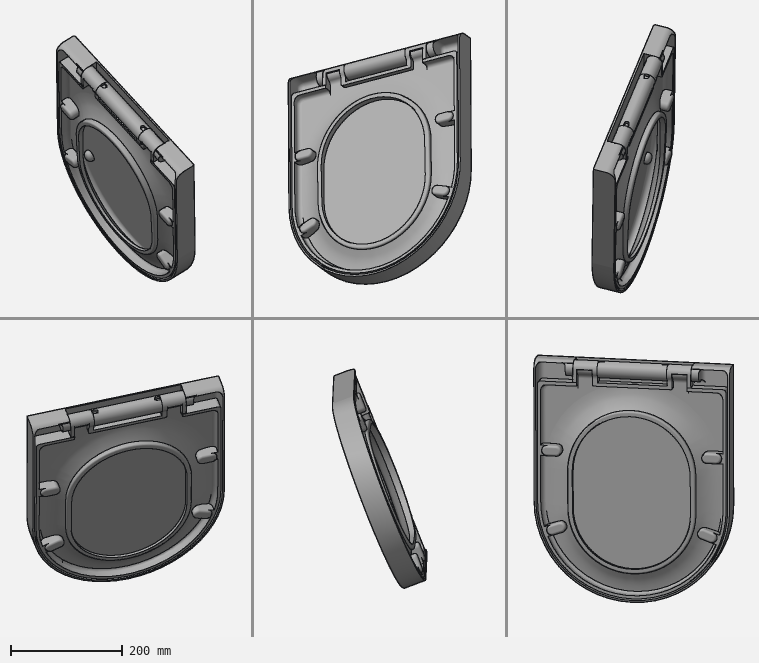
import cadquery as cq
import math

LEAN_ANGLE = 0.57

CUT_MARGIN = 20.0
OVERLAP = 1.0

LID_RADIUS = 179.0
LID_TOP = 261.0
LID_DEPTH = 42.2
LID_WALL = 3.5
LID_TOP_WALL = 4.2
LID_PLATE = 5.0
LID_BACK_ROUND = 4.5
LID_FLOOR_ROUND = 9.0
LID_CORNER_ROUND = 10.0
LID_EDGE_ROUND = 17.5

BARREL_RADIUS = 15.2
HINGE_DROP = 15.3
HINGE_SETBACK = 16.8
HINGE_Z = LID_TOP - HINGE_DROP
HINGE_DEPTH = LID_DEPTH - HINGE_SETBACK
BAR_HALF = 63.6
ARM_OUTER = 108.0
BOSS_LENGTH = 14.0
BOSS_RADIUS = 14.0
BOSS_ROUND = 7.0
KEYWAY_LENGTH = 10.5
KEYWAY_WIDTH = 8.6
KEYWAY_DEPTH = 6.0

SEAT_RADIUS = 172.5
SEAT_TOP = 223.0
SEAT_RIM_DEPTH = LID_DEPTH - 0.5
SEAT_FLOOR_DEPTH = 25.2
SEAT_BACK_DEPTH = 19.7
SEAT_CENTRE_RIM_DEPTH = 35.0
SEAT_CENTRE_ROUND = 3.0
SEAT_RIM = 5.7
SEAT_TOP_RIM = 6.5
SEAT_OUTER_ROUND = 6.0
SEAT_INNER_ROUND = 12.0
SEAT_FLOOR_ROUND = 7.0

SLOT_INNER = 73.0
SLOT_OUTER = 101.0
ARM_CORE_RADIUS = 11.5
SLOT_TOP_RISE = 1.2
ARM_CORE_ROUND = 9.0
ARM_CHEEK_ROUND = 12.0

OPENING_RADIUS = 108.0
HEM_RADIUS = 117.0
HEM_ROUND = 3.0
DOME_RADIUS = 163.0
OPENING_TOP_CENTRE = 59.0
OPENING_LOW_CENTRE = -9.5
DOME_RISE = 14.5
HOLLOW_RISE = 18.0
HEM_TOP_DEPTH = LID_DEPTH + 8.1
HEM_TILT = 1.4

BUMPER_REACH = 146.5
BUMPER_LENGTH = 36.5
BUMPER_WIDTH = 19.0
BUMPER_DEPTH = LID_DEPTH + 4.8
BUMPER_ROUND = 4.4
UPPER_BUMPER_Z = 94.8
LOWER_BUMPER_ANGLE = 19.5
LID_BUMPER_X = 130.0
LID_BUMPER_Z = -54.5
LID_BUMPER_RADIUS = 11.0
LID_BUMPER_HEIGHT = 10.0
LID_BUMPER_ROUND = 7.7


def at_depth(depth):
    """Sketch plane facing the front (-Y), with x along X and y along Z."""
    return cq.Workplane("XZ", origin=(0, -depth, 0))


def block(x_range, depth_range, z_range):
    """Box between two X values, two depths and two heights."""
    (x0, x1), (d0, d1), (z0, z1) = x_range, depth_range, z_range
    return cq.Workplane("XY").box(x1 - x0, d1 - d0, z1 - z0, centered=False).translate((x0, -d1, z0))


def d_shape(radius, top, depth_from, depth_to):
    """Slab with straight sides, a square top and a half-round lower end."""
    return (
        at_depth(depth_from)
        .moveTo(-radius, 0)
        .threePointArc((0, -radius), (radius, 0))
        .lineTo(radius, top)
        .lineTo(-radius, top)
        .close()
        .extrude(depth_to - depth_from)
    )


def round_top_corners(slab, radius):
    return slab.edges("|Y and >Z").fillet(radius)


def hinge_cylinder(radius, x0, x1):
    """Cylinder on the hinge line between two X values."""
    return cq.Workplane("YZ", origin=(x0, -HINGE_DEPTH, HINGE_Z)).circle(radius).extrude(x1 - x0)


def both_sides(solid):
    """The shape together with its mirror image across the middle plane."""
    return solid.union(solid.mirror("YZ"))


def lid_boss():
    """Hinge boss standing on the lid plate beside the recess."""
    x_end = ARM_OUTER + BOSS_LENGTH
    z_range = (HINGE_Z - BOSS_RADIUS, HINGE_Z + BOSS_RADIUS)
    pad = block((ARM_OUTER, x_end), (LID_PLATE - OVERLAP, HINGE_DEPTH), z_range)
    return pad.union(hinge_cylinder(BOSS_RADIUS, ARM_OUTER, x_end))


def lid_bumper(side):
    return (
        at_depth(LID_PLATE)
        .center(side * LID_BUMPER_X, LID_BUMPER_Z)
        .circle(LID_BUMPER_RADIUS)
        .extrude(LID_BUMPER_HEIGHT)
        .faces("<Y")
        .edges()
        .fillet(LID_BUMPER_ROUND)
    )


def build_lid():
    shell = d_shape(LID_RADIUS, LID_TOP, 0, LID_DEPTH)
    shell = shell.faces(">Y").edges().fillet(LID_BACK_ROUND)
    shell = shell.edges("<Y and >Z").fillet(LID_EDGE_ROUND)
    cavity = d_shape(LID_RADIUS - LID_WALL, LID_TOP - LID_TOP_WALL, LID_PLATE, LID_DEPTH + CUT_MARGIN)
    cavity = round_top_corners(cavity, LID_CORNER_ROUND)
    cavity = cavity.faces(">Y").edges().fillet(LID_FLOOR_ROUND)
    recess_depth = (LID_PLATE, LID_DEPTH + CUT_MARGIN)
    recess_z = (HINGE_Z - BARREL_RADIUS, LID_TOP + CUT_MARGIN)
    recess = block((-ARM_OUTER, ARM_OUTER), recess_depth, recess_z)
    lid = shell.cut(cavity).cut(recess).union(both_sides(lid_boss()))
    for side in (-1, 1):
        boss_end = (side * (ARM_OUTER + BOSS_LENGTH), -LID_PLATE, HINGE_Z)
        boss_foot = (side * (ARM_OUTER + BOSS_LENGTH / 2), -LID_PLATE, HINGE_Z - BOSS_RADIUS)
        foot_edges = lid.edges(cq.NearestToPointSelector(boss_end))
        foot_edges = foot_edges.add(lid.edges(cq.NearestToPointSelector(boss_foot)))
        lid = foot_edges.fillet(BOSS_ROUND)
        lid = lid.union(lid_bumper(side))
    return lid


def along_opening(profile):
    """Carry a half profile (radius, depth) around the long round opening."""
    height = OPENING_TOP_CENTRE - OPENING_LOW_CENTRE
    upper = profile.revolve(360, (0, 0, 0), (0, 1, 0)).translate((0, 0, OPENING_TOP_CENTRE))
    lower = upper.translate((0, 0, -height))
    middle = profile.toPending().extrude(height).translate((0, 0, OPENING_LOW_CENTRE))
    return upper.union(lower).union(both_sides(middle))


def concave_profile(foot_depth, end_radius, rise, base_depth):
    """Half profile that leaves the dome foot flat and climbs along an arc to the given radius."""
    run = DOME_RADIUS - end_radius
    arc_radius = (run**2 + rise**2) / (2 * rise)
    half_angle = math.asin(run / arc_radius) / 2
    mid = (
        DOME_RADIUS - arc_radius * math.sin(half_angle),
        -foot_depth - arc_radius * (1 - math.cos(half_angle)),
    )
    outline = cq.Workplane("XY").moveTo(0, -base_depth).lineTo(DOME_RADIUS, -base_depth)
    return (
        outline.lineTo(DOME_RADIUS, -foot_depth)
        .threePointArc(mid, (end_radius, -foot_depth - rise))
        .lineTo(0, -foot_depth - rise)
        .close()
    )


def opening_slab(radius, depth_from, depth_to):
    """Long round slab concentric with the seat opening."""
    centre_z = (OPENING_TOP_CENTRE + OPENING_LOW_CENTRE) / 2
    length = OPENING_TOP_CENTRE - OPENING_LOW_CENTRE + 2 * radius
    return (
        at_depth(depth_from)
        .center(0, centre_z)
        .slot2D(length, 2 * radius, 90)
        .extrude(depth_to - depth_from)
    )


def seat_hem():
    """Raised lip around the opening, highest at its top end."""
    hem = opening_slab(HEM_RADIUS, SEAT_FLOOR_DEPTH, HEM_TOP_DEPTH + CUT_MARGIN)
    reach = 2 * LID_RADIUS
    trim = block((-reach, reach), (0, reach), (-reach, reach)).rotate((0, 0, 0), (1, 0, 0), HEM_TILT)
    hem = hem.cut(trim.translate((0, -HEM_TOP_DEPTH, OPENING_TOP_CENTRE + HEM_RADIUS)))
    return hem.faces("<Y").edges().fillet(HEM_ROUND)


def rounded_barrel(radius, x_range, web_front, root_round):
    """Stretch of barrel standing on its web, with a concave round where the two meet."""
    web = block(x_range, (SEAT_BACK_DEPTH, web_front), (SEAT_TOP - OVERLAP, HINGE_Z))
    root_z = HINGE_Z - math.sqrt(radius**2 - (HINGE_DEPTH - web_front) ** 2)
    root = cq.NearestToPointSelector((sum(x_range) / 2, -web_front, root_z))
    return hinge_cylinder(radius, *x_range).union(web).edges(root).fillet(root_round)


def seat_arm():
    """Hinge arm: slotted barrel, web down to the seat plate and an outer rib."""
    barrel = hinge_cylinder(BARREL_RADIUS, BAR_HALF, ARM_OUTER)
    slot_top = HINGE_Z + SLOT_TOP_RISE
    slot = block((SLOT_INNER, SLOT_OUTER), (0, LID_DEPTH), (SEAT_TOP, slot_top))
    slot_floor = rounded_barrel(ARM_CORE_RADIUS, (SLOT_INNER, SLOT_OUTER), SEAT_FLOOR_DEPTH, ARM_CORE_ROUND)
    cheek = rounded_barrel(BARREL_RADIUS, (BAR_HALF, SLOT_INNER), SEAT_CENTRE_RIM_DEPTH, ARM_CHEEK_ROUND)
    rib_depth = (SEAT_BACK_DEPTH, HINGE_DEPTH + BARREL_RADIUS)
    rib = block((SLOT_OUTER, ARM_OUTER), rib_depth, (SEAT_TOP - SEAT_TOP_RIM, HINGE_Z))
    return barrel.cut(slot).union(slot_floor).union(cheek).union(rib)


def seat_bumper():
    """Long rounded foot on the seat floor with a block tying it to the rim, lying along +X."""
    foot = (
        at_depth(SEAT_BACK_DEPTH)
        .center(BUMPER_REACH, 0)
        .slot2D(BUMPER_LENGTH, BUMPER_WIDTH)
        .extrude(BUMPER_DEPTH - SEAT_BACK_DEPTH)
        .faces("<Y")
        .edges()
        .fillet(BUMPER_ROUND)
    )
    half_width = BUMPER_WIDTH / 2
    tie_x = (BUMPER_REACH, SEAT_RADIUS - SEAT_RIM / 2)
    tie = block(tie_x, (SEAT_BACK_DEPTH, SEAT_RIM_DEPTH), (-half_width, half_width))
    return foot.union(tie)


def build_seat():
    inner_radius = SEAT_RADIUS - SEAT_RIM
    inner_top = SEAT_TOP - SEAT_TOP_RIM
    tray = d_shape(SEAT_RADIUS, SEAT_TOP, SEAT_BACK_DEPTH, SEAT_RIM_DEPTH)
    tray = round_top_corners(tray, SEAT_OUTER_ROUND)
    cavity = d_shape(inner_radius, inner_top, SEAT_FLOOR_DEPTH, SEAT_RIM_DEPTH + CUT_MARGIN)
    cavity = round_top_corners(cavity, SEAT_INNER_ROUND)
    tray = tray.cut(cavity.faces(">Y").edges().fillet(SEAT_FLOOR_ROUND))

    gap_depth = (SEAT_FLOOR_DEPTH, SEAT_RIM_DEPTH + CUT_MARGIN)
    gap_z = (inner_top - SEAT_FLOOR_ROUND, SEAT_TOP + CUT_MARGIN)
    tray = tray.cut(block((-SLOT_OUTER, SLOT_OUTER), gap_depth, gap_z))
    centre_rim = block(
        (-SLOT_INNER, SLOT_INNER), (SEAT_BACK_DEPTH, SEAT_CENTRE_RIM_DEPTH), (inner_top, SEAT_TOP)
    )
    tray = tray.union(centre_rim.edges("|Y and <Z").fillet(SEAT_CENTRE_ROUND))

    dome = along_opening(concave_profile(SEAT_FLOOR_DEPTH, HEM_RADIUS, DOME_RISE, SEAT_BACK_DEPTH))
    bowl = d_shape(inner_radius, inner_top, SEAT_BACK_DEPTH, LID_DEPTH + CUT_MARGIN)
    seat = tray.union(dome.intersect(bowl)).union(seat_hem())

    upper = seat_bumper().translate((0, 0, UPPER_BUMPER_Z))
    lower = seat_bumper().rotate((0, 0, 0), (0, 1, 0), LOWER_BUMPER_ANGLE)
    seat = seat.union(both_sides(upper)).union(both_sides(lower))

    hollow = along_opening(
        concave_profile(SEAT_BACK_DEPTH, OPENING_RADIUS, HOLLOW_RISE, 0)
    )
    opening = opening_slab(OPENING_RADIUS, 0, HEM_TOP_DEPTH + CUT_MARGIN)
    return seat.cut(hollow).cut(opening).union(both_sides(seat_arm()))


def build_hinge_bar():
    bar = hinge_cylinder(BARREL_RADIUS, -BAR_HALF, BAR_HALF)
    keyway = (
        cq.Workplane("XY", origin=(BAR_HALF, -HINGE_DEPTH, HINGE_Z + BARREL_RADIUS - KEYWAY_DEPTH))
        .slot2D(2 * KEYWAY_LENGTH, KEYWAY_WIDTH)
        .extrude(KEYWAY_DEPTH + CUT_MARGIN)
    )
    return bar.cut(both_sides(keyway))


lid = build_lid()
seat = build_seat()
hinge_bar = build_hinge_bar()
solids = [*lid.solids().vals(), *seat.solids().vals(), *hinge_bar.solids().vals()]
result = cq.Compound.makeCompound([
    solid.rotate(cq.Vector(0, 0, 0), cq.Vector(1, 0, 0), LEAN_ANGLE) for solid in solids
])